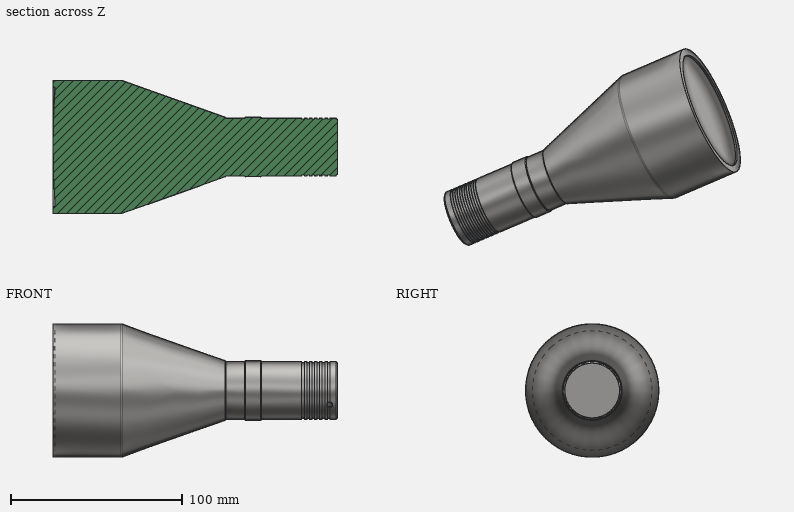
import cadquery as cq
import math

total_length = 166.4

barrel_diameter = 78.0
barrel_radius = barrel_diameter / 2
barrel_length = 39.6
barrel_edge_length = 1.0
barrel_edge_drop = 0.2
cone_end_x = 101.2
cone_lip_radius = 17.5

lens_radius = 35.0
lens_recess = 1.2
lens_dome_height = lens_recess

tube_radius = 17.0
tube_end_chamfer = 1.0
collar_radius = 17.5
collar_start_x = 112.0
collar_end_x = 122.0
collar_chamfer = collar_radius - tube_radius

groove_count = 6
groove_start_x = 145.5
groove_pitch = 3.0
groove_width = 1.5
groove_depth = 0.5

screw_hole_x = 161.8
screw_hole_diameter = 3.3
screw_hole_depth = 0.8
screw_hole_angle = 30.0


def make_body():
    """Revolve the stepped outline, from the lens dome to the tube end."""
    cone_start_x = barrel_length + barrel_edge_length
    cone_lip_chamfer = cone_lip_radius - tube_radius
    dome_radius = (lens_radius**2 + lens_dome_height**2) / (2 * lens_dome_height)
    half_angle = math.asin(lens_radius / dome_radius) / 2
    dome_apex_x = lens_recess - lens_dome_height
    dome_mid = (
        dome_apex_x + dome_radius * (1 - math.cos(half_angle)),
        dome_radius * math.sin(half_angle),
    )
    outline = (
        cq.Workplane("XY")
        .moveTo(dome_apex_x, 0)
        .threePointArc(dome_mid, (lens_recess, lens_radius))
        .lineTo(0, lens_radius)
        .lineTo(0, barrel_radius)
        .lineTo(barrel_length, barrel_radius)
        .lineTo(cone_start_x, barrel_radius - barrel_edge_drop)
        .lineTo(cone_end_x - cone_lip_chamfer, cone_lip_radius)
        .lineTo(cone_end_x, tube_radius)
        .lineTo(collar_start_x, tube_radius)
        .lineTo(collar_start_x + collar_chamfer, collar_radius)
        .lineTo(collar_end_x - collar_chamfer, collar_radius)
        .lineTo(collar_end_x, tube_radius)
        .lineTo(total_length - tube_end_chamfer, tube_radius)
        .lineTo(total_length, tube_radius - tube_end_chamfer)
        .lineTo(total_length, 0)
        .close()
    )
    return outline.revolve(360, (0, 0, 0), (1, 0, 0))


def make_groove(start_x):
    """Ring that cuts one square groove into the tube."""
    return (
        cq.Workplane("YZ", origin=(start_x, 0, 0))
        .circle(collar_radius)
        .circle(tube_radius - groove_depth)
        .extrude(groove_width)
    )


def make_screw_hole():
    """Radial cylinder that cuts the flat-bottomed set screw hole."""
    angle = math.radians(screw_hole_angle)
    outward = cq.Vector(0, -math.cos(angle), -math.sin(angle))
    floor_centre = cq.Vector(screw_hole_x, 0, 0) + outward * (tube_radius - screw_hole_depth)
    return cq.Solid.makeCylinder(
        screw_hole_diameter / 2, 2 * screw_hole_depth, floor_centre, outward
    )


result = make_body()
for index in range(groove_count):
    result = result.cut(make_groove(groove_start_x + index * groove_pitch))
result = result.cut(cq.Workplane(obj=make_screw_hole()))